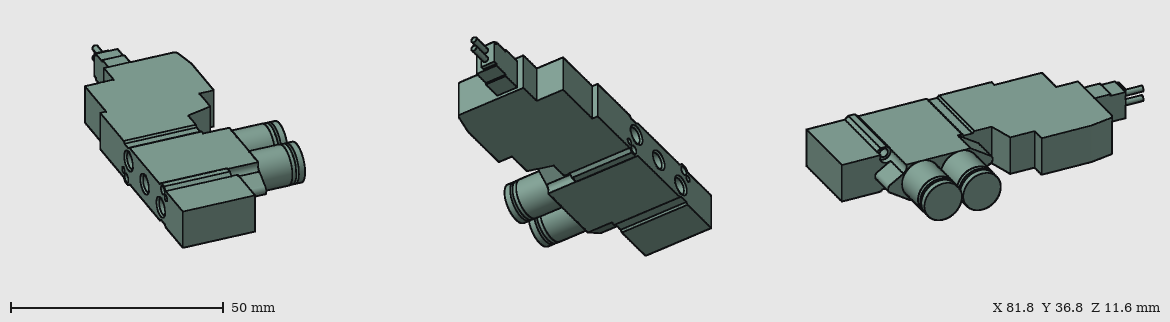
import cadquery as cq
import math


BODY_LENGTH = 67.0
BODY_THICKNESS = 10.0
HALF_THICKNESS = BODY_THICKNESS / 2
SPOOL_HEIGHT = 18.5
STEP_X = 18.25
STEP_DEPTH = 1.5
NOTCH_X = 5.7
NOTCH_Y = 8.9
PILOT_TOP = 28.6
PILOT_TOP_X = 6.3
PILOT_CORNER_Y = 27.4
PILOT_CORNER_RADIUS = 1.0
SHELF_Y = 24.9
SHELF_X = 19.5
SHELF_END_X = 25.9
RAMP_END_X = 27.6

PLUG_BOTTOM = 10.65
PLUG_TOP = 16.25
PLUG_STAGES = [(4.9, 8.1, PLUG_TOP), (3.95, 7.15, PLUG_TOP), (1.0, 6.15, 14.3)]
WIRE_DIAMETER = 1.5
WIRE_LENGTH = 4.95
WIRE_Y = 13.1
WIRE_OFFSET = 1.3

CENTER_X = 44.45
PORT_PITCH = 9.5
PORT_RISE = 1.05
PORT_DIAMETER = 4.13
PORT_MOUTH_DIAMETER = 5.1
PORT_DEPTH = 5.0
DRILL_POINT_ANGLE = 118.0

SCREW_OFFSET_X = 10.7
SCREW_OFFSET_Z = 4.3
SCREW_DIAMETER = 2.2
SEAT_RADIUS = 1.8
SEAT_Y = 16.85
LUG_HALF_TOP = 0.85
LUG_HALF_BASE = 1.75
LUG_HEIGHT = 0.8
GROOVE_HALF_FLOOR = 1.15
GROOVE_HALF_MOUTH = 1.65
GROOVE_DEPTH = 0.5
PIN_HOLE_DIAMETER = 1.5
PIN_HOLE_DEPTH = 2.0
PIN_OFFSET_X = 12.55
PIN_OFFSET_Z = 3.1

BLOCK_TOP = 25.2
BLOCK_HALF_LENGTH = 13.8
BLOCK_FLAT_START = 7.95
BLOCK_BEVEL_X = 12.95
BLOCK_BEVEL_Z = 1.7
BLOCK_RELIEF_START = 9.75
BLOCK_RELIEF_TOP = 2.75
BLOCK_RELIEF_X = 12.95
BLOCK_RELIEF_Z = 0.75
FITTING_OFFSET = 5.12
FITTING_DIAMETER = 10.0
FITTING_RIM_DIAMETER = 9.9
FITTING_NECK_DIAMETER = 6.28
FITTING_RIM_Y = 33.5
FITTING_NECK_Y = 34.5
FITTING_FLANGE_Y = 35.2
FITTING_TOP = 36.8


def cylinder_along_y(x, z, diameter, y_start, y_end):
    base = cq.Vector(x, y_start, z)
    solid = cq.Solid.makeCylinder(diameter / 2, y_end - y_start, base, cq.Vector(0, 1, 0))
    return cq.Workplane(solid)


def extrude_along_y(sketch, y_start, y_end):
    """Extrude an outline drawn on the XZ plane between two Y levels."""
    return sketch.extrude(-(y_end - y_start)).translate((0, y_start, 0))


def half_turned(shape):
    return shape.rotate((CENTER_X, 0, 0), (CENTER_X, 1, 0), 180)


def make_body():
    outline = [
        (0, NOTCH_Y), (NOTCH_X, NOTCH_Y), (NOTCH_X, STEP_DEPTH), (STEP_X, STEP_DEPTH), (STEP_X, 0),
        (BODY_LENGTH, 0), (BODY_LENGTH, SPOOL_HEIGHT), (RAMP_END_X, SPOOL_HEIGHT),
        (SHELF_END_X, SHELF_Y), (SHELF_X, SHELF_Y), (SHELF_X, PILOT_TOP),
        (PILOT_TOP_X, PILOT_TOP), (0, PILOT_CORNER_Y),
    ]
    body = cq.Workplane("XY").polyline(outline).close().extrude(HALF_THICKNESS, both=True)
    corner = cq.selectors.NearestToPointSelector((0, PILOT_CORNER_Y, 0))
    return body.edges("|Z").edges(corner).fillet(PILOT_CORNER_RADIUS)


def make_plug():
    plug = cq.Workplane("XY")
    x = 0
    for length, thickness, top in PLUG_STAGES:
        x -= length
        stage = cq.Workplane("XY").box(length, top - PLUG_BOTTOM, thickness, centered=(False, False, True))
        plug = plug.union(stage.translate((x, PLUG_BOTTOM, 0)))
    for z in (-WIRE_OFFSET, WIRE_OFFSET):
        base = cq.Vector(x, WIRE_Y, z)
        wire = cq.Solid.makeCylinder(WIRE_DIAMETER / 2, WIRE_LENGTH, base, cq.Vector(-1, 0, 0))
        plug = plug.union(cq.Workplane(wire))
    return plug


def make_block():
    """Port block whose section maps onto itself under a half turn about the port axis."""
    def turned(point):
        return (-point[0], -point[1])

    seat_wall = (BLOCK_RELIEF_START, HALF_THICKNESS)
    relief_top = (BLOCK_RELIEF_START, BLOCK_RELIEF_TOP)
    relief_end = (BLOCK_RELIEF_X, BLOCK_RELIEF_Z)
    nose = (BLOCK_HALF_LENGTH, (BLOCK_RELIEF_Z - BLOCK_BEVEL_Z) / 2)
    bevel_end = (BLOCK_BEVEL_X, -BLOCK_BEVEL_Z)
    bevel_start = (BLOCK_FLAT_START, -HALF_THICKNESS)
    section = (
        cq.Workplane("XZ")
        .moveTo(*seat_wall).lineTo(*relief_top).lineTo(*relief_end)
        .threePointArc(nose, bevel_end)
        .lineTo(*bevel_start)
        .lineTo(*turned(seat_wall)).lineTo(*turned(relief_top)).lineTo(*turned(relief_end))
        .threePointArc(turned(nose), turned(bevel_end))
        .lineTo(*turned(bevel_start))
        .close()
    )
    return extrude_along_y(section, SPOOL_HEIGHT, BLOCK_TOP).translate((CENTER_X, 0, 0))


def make_fitting(x):
    stages = [
        (FITTING_DIAMETER, BLOCK_TOP, FITTING_RIM_Y),
        (FITTING_RIM_DIAMETER, FITTING_RIM_Y, FITTING_NECK_Y),
        (FITTING_NECK_DIAMETER, FITTING_NECK_Y, FITTING_FLANGE_Y),
        (FITTING_RIM_DIAMETER, FITTING_FLANGE_Y, FITTING_TOP),
    ]
    fitting = cq.Workplane("XY")
    for diameter, y_start, y_end in stages:
        fitting = fitting.union(cylinder_along_y(x, 0, diameter, y_start, y_end))
    return fitting


def make_port(x, z):
    """Drilled port with a countersunk mouth and a conical drill point."""
    radius = PORT_DIAMETER / 2
    mouth_radius = PORT_MOUTH_DIAMETER / 2
    point_depth = radius / math.tan(math.radians(DRILL_POINT_ANGLE / 2))
    half_section = [
        (0, 0), (mouth_radius, 0), (radius, mouth_radius - radius),
        (radius, PORT_DEPTH), (0, PORT_DEPTH + point_depth),
    ]
    port = cq.Workplane("XY").polyline(half_section).close().revolve(360, (0, 0), (0, 1))
    return port.translate((x, 0, z))


def make_lug():
    x = CENTER_X + SCREW_OFFSET_X
    section = cq.Workplane("XZ").polyline([
        (x - LUG_HALF_BASE, HALF_THICKNESS), (x - LUG_HALF_TOP, HALF_THICKNESS + LUG_HEIGHT),
        (x + LUG_HALF_TOP, HALF_THICKNESS + LUG_HEIGHT), (x + LUG_HALF_BASE, HALF_THICKNESS),
    ]).close()
    return extrude_along_y(section, 0, SEAT_Y)


def make_groove():
    x = CENTER_X - SCREW_OFFSET_X
    floor_z = HALF_THICKNESS - GROOVE_DEPTH
    section = cq.Workplane("XZ").polyline([
        (x - GROOVE_HALF_MOUTH, HALF_THICKNESS), (x - GROOVE_HALF_FLOOR, floor_z),
        (x + GROOVE_HALF_FLOOR, floor_z), (x + GROOVE_HALF_MOUTH, HALF_THICKNESS),
    ]).close()
    return extrude_along_y(section, 0, SPOOL_HEIGHT)


def make_screw_cuts():
    x = CENTER_X + SCREW_OFFSET_X
    hole = cylinder_along_y(x, SCREW_OFFSET_Z, SCREW_DIAMETER, 0, SEAT_Y)
    seat = cylinder_along_y(x, SCREW_OFFSET_Z, 2 * SEAT_RADIUS, SEAT_Y, BLOCK_TOP)
    pin_hole = cylinder_along_y(CENTER_X + PIN_OFFSET_X, PIN_OFFSET_Z, PIN_HOLE_DIAMETER, 0, PIN_HOLE_DEPTH)
    return hole.union(seat).union(pin_hole)


lug = make_lug()
groove = make_groove()
screw_cuts = make_screw_cuts()

result = make_body().cut(groove).cut(half_turned(groove))
result = result.union(make_block()).union(lug).union(half_turned(lug))
result = result.cut(screw_cuts).cut(half_turned(screw_cuts))
for step in (-1, 0, 1):
    result = result.cut(make_port(CENTER_X + step * PORT_PITCH, -step * PORT_RISE))
for side in (-1, 1):
    result = result.union(make_fitting(CENTER_X + side * FITTING_OFFSET))
result = result.union(make_plug())